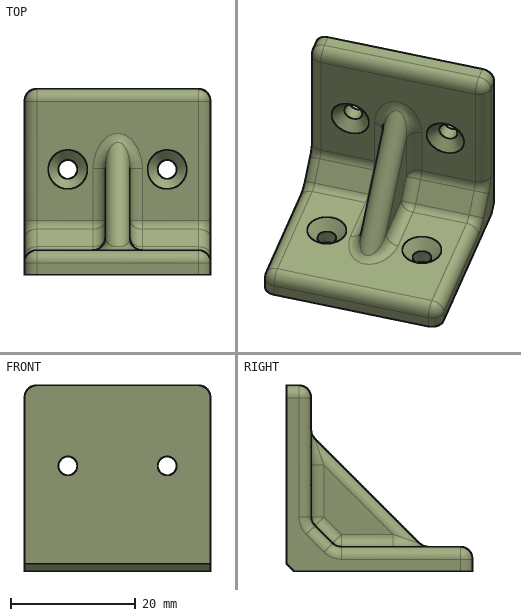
import cadquery as cq
import math

side = 30.0
wall = 4.0
round_radius = 2.0
heel_chamfer = 1.25
inner_chamfer = 4.0
inner_start = wall + inner_chamfer

rib_width = 4.0
rib_reach = 22.0
rib_base_radius = 2.0

hole_diameter = 3.0
sink_diameter = 6.3
sink_angle = 90.0
hole_offset = 8.0
hole_distance = 17.0

margin = 0.001


def box_between(low, high):
    """Select edges whose centres have y and z between low and high, at any x."""
    return cq.selectors.BoxSelector(
        (-side, low - margin, low - margin),
        (side, high + margin, high + margin),
    )


def make_plates():
    """Angle with a bevelled heel, a bevelled inner corner and a rounded rim."""
    plates = (
        cq.Workplane("YZ")
        .polyline(
            [
                (heel_chamfer, 0),
                (side, 0),
                (side, wall),
                (inner_start, wall),
                (wall, inner_start),
                (wall, side),
                (0, side),
                (0, heel_chamfer),
            ]
        )
        .close()
        .extrude(side / 2, both=True)
    )
    plates = plates.edges("|X").edges(box_between(wall, inner_start)).fillet(round_radius)

    floor_end = plates.faces(">Y")
    wall_end = plates.faces(">Z")
    rounded = floor_end.edges("|Z").vals() + floor_end.edges(">Z").vals()
    rounded += wall_end.edges("|Y").vals() + wall_end.edges(">Y").vals()
    rounded += plates.faces("<X or >X").edges(box_between(wall, side)).vals()
    return plates.newObject(rounded).fillet(round_radius)


def make_rib():
    """Bar with a round crest, running at 45 degrees from one plate to the other."""
    root = wall / 2
    crest_middle = (rib_reach + wall) / 2
    depth = math.sqrt(2) * (crest_middle - root)
    half_width = rib_width / 2
    section_plane = cq.Plane(
        origin=(0, crest_middle, crest_middle), xDir=(1, 0, 0), normal=(0, -1, 1)
    )
    bar = (
        cq.Workplane(section_plane)
        .moveTo(-half_width, -half_width)
        .threePointArc((0, 0), (half_width, -half_width))
        .lineTo(half_width, -depth)
        .lineTo(-half_width, -depth)
        .close()
        .extrude(side, both=True)
    )
    bounds = cq.Workplane().box(side, side, side, centered=(True, False, False))
    return bar.intersect(bounds.translate((0, root, root)))


def add_rib(plates):
    """Join the rib to the plates and fillet it all round its base."""
    ribbed = plates.union(make_rib())
    around_rib = cq.selectors.BoxSelector(
        (-rib_width / 2 - margin, wall - margin, wall - margin),
        (rib_width / 2 + margin, rib_reach + margin, rib_reach + margin),
    )
    base_edges = ribbed.edges(around_rib).edges("not |(0, 1, -1)")
    return ribbed.newObject(base_edges.vals()).fillet(rib_base_radius)


def drill_holes(bracket):
    """Drill both plates from the inside, with the countersinks facing the rib."""
    floor_plane = cq.Plane(origin=(0, 0, wall), xDir=(1, 0, 0), normal=(0, 0, 1))
    wall_plane = cq.Plane(origin=(0, wall, 0), xDir=(-1, 0, 0), normal=(0, 1, 0))
    for plane in (floor_plane, wall_plane):
        bracket = (
            bracket.copyWorkplane(cq.Workplane(plane))
            .pushPoints([(-hole_offset, hole_distance), (hole_offset, hole_distance)])
            .cskHole(hole_diameter, sink_diameter, sink_angle, depth=wall)
        )
    return bracket


result = drill_holes(add_rib(make_plates()))